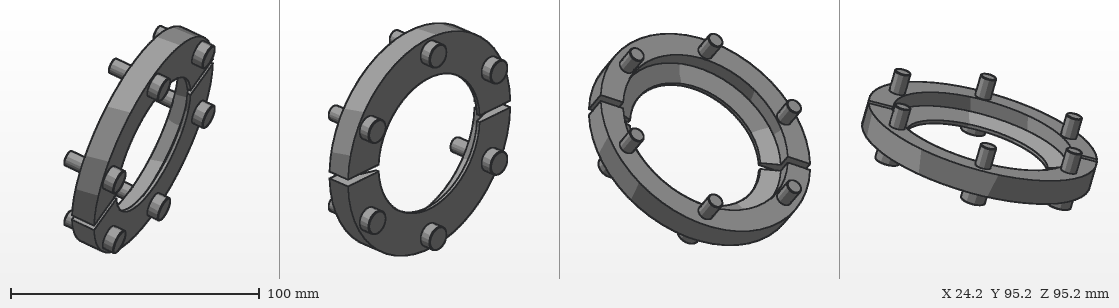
import cadquery as cq
import math

ring_radius = 47.6
ring_thickness = 10.3
counterbore_radius = 37.4
counterbore_depth = 6.0
bore_radius = 29.6
bore_land = 1.5
split_gap = 3.05

screws_per_half = 3
screw_spacing = 60.0
bolt_circle_radius = 41.2
shank_radius = 3.2
shank_protrusion = 8.9
head_radius = 5.05
head_height = 5.05
shank_chamfer = 0.3
head_chamfer = 0.3

screw_length = shank_protrusion + ring_thickness + head_height


def screw_centres(side):
    """(Y, Z) centres of one half's screws; side is +1 for the upper half, -1 for the lower."""
    middle = (screws_per_half - 1) / 2
    angles = [math.radians((i - middle) * screw_spacing) for i in range(screws_per_half)]
    return [
        (bolt_circle_radius * math.sin(a), side * bolt_circle_radius * math.cos(a))
        for a in angles
    ]


def full_ring():
    """Revolve the ring section: counterbore, cone and short bore, from one face to the other."""
    section = (
        cq.Workplane("XZ")
        .moveTo(0, ring_radius)
        .lineTo(0, counterbore_radius)
        .lineTo(counterbore_depth, counterbore_radius)
        .lineTo(ring_thickness - bore_land, bore_radius)
        .lineTo(ring_thickness, bore_radius)
        .lineTo(ring_thickness, ring_radius)
        .close()
    )
    return section.revolve(360, (0, 0, 0), (1, 0, 0))


def ring_half(side):
    """One half of the ring, cut back by half the gap and drilled for its screws."""
    keep = (
        cq.Workplane("XY")
        .workplane(offset=side * split_gap / 2)
        .rect(2 * ring_thickness, 2 * ring_radius)
        .extrude(side * ring_radius)
    )
    holes = (
        cq.Workplane("YZ")
        .pushPoints(screw_centres(side))
        .circle(shank_radius)
        .extrude(ring_thickness)
    )
    return full_ring().intersect(keep).cut(holes)


def screw(centre):
    """Cylindrical-head screw along X, its head seated on the far face of the ring."""
    shank = (
        cq.Workplane("YZ", origin=(-shank_protrusion, 0, 0))
        .circle(shank_radius)
        .extrude(screw_length)
        .faces("<X")
        .chamfer(shank_chamfer)
    )
    head = (
        cq.Workplane("YZ", origin=(ring_thickness, 0, 0))
        .circle(head_radius)
        .extrude(head_height)
        .faces(">X")
        .chamfer(head_chamfer)
    )
    y, z = centre
    return shank.union(head).translate((0, y, z))


sides = (1, -1)
ring_halves = [ring_half(side) for side in sides]
screws = [screw(centre) for side in sides for centre in screw_centres(side)]

result = cq.Compound.makeCompound([body.val() for body in ring_halves + screws])